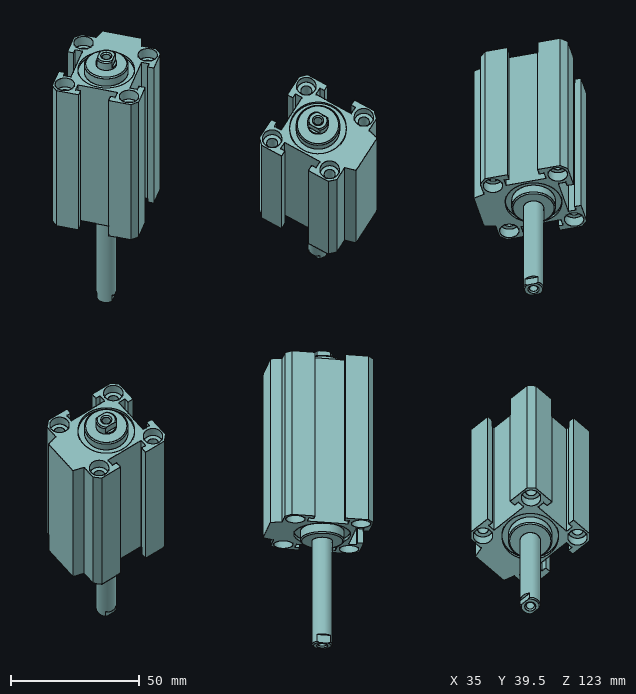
import cadquery as cq

rod_length = 123.0
rod_overhang_top = 4.0
boss_height = 3.0
body_length = 69.0
body_top = rod_length - rod_overhang_top - boss_height
body_bottom = body_top - body_length
body_middle = (body_top + body_bottom) / 2
rod_middle = rod_length / 2

body_width = 35.0
half_width = body_width / 2
corner_chamfer = 2.5
housing_depth = 39.5
rail_top = housing_depth - half_width
rail_top_half_width = 8.0
rail_base_half_width = 9.2

slot_opening = 12.0
slot_inner_width = 16.0
slot_lip = 2.6
slot_floor_distance = 11.9

hole_spacing = 26.0
hole_diameter = 4.3
counterbore_diameter = 7.5
counterbore_depth = 4.5

boss_diameter = 17.0
boss_chamfer = 0.5
recess_diameter = 22.0
recess_depth = 1.2

rod_diameter = 8.0
rod_chamfer = 0.5
flat_distance = 6.0
flat_length = 3.3
bore_diameter = 3.2
bore_mouth_diameter = 4.3
bore_depth = 8.0
bore_chamfer = (bore_mouth_diameter - bore_diameter) / 2


def mirror_in_z(shape, height):
    """Copy of a shape mirrored about the horizontal plane at the given height."""
    return shape.mirror("XY", (0, 0, height))


def make_profile():
    """Square extrusion with chamfered corners and a tapered rail along +Y."""
    square = (
        cq.Workplane("XY", origin=(0, 0, body_bottom))
        .rect(body_width, body_width)
        .extrude(body_length)
        .edges("|Z")
        .chamfer(corner_chamfer)
    )
    rail = (
        cq.Workplane("XY", origin=(0, 0, body_bottom))
        .polyline([
            (-rail_base_half_width, 0),
            (-rail_base_half_width, half_width),
            (-rail_top_half_width, rail_top),
            (rail_top_half_width, rail_top),
            (rail_base_half_width, half_width),
            (rail_base_half_width, 0),
        ])
        .close()
        .extrude(body_length)
    )
    return square.union(rail)


def make_slot():
    """T-slot cutter for the -Y face."""
    slot_depth = half_width - slot_floor_distance
    pocket_depth = slot_depth - slot_lip
    opening = (
        cq.Workplane("XY", origin=(0, -half_width, body_bottom))
        .center(0, slot_depth / 2)
        .rect(slot_opening, slot_depth)
        .extrude(body_length)
    )
    pocket = (
        cq.Workplane("XY", origin=(0, -half_width, body_bottom))
        .center(0, slot_lip + pocket_depth / 2)
        .rect(slot_inner_width, pocket_depth)
        .extrude(body_length)
    )
    return opening.union(pocket)


def make_boss_recess():
    """Cutter for the shallow round recess that the top boss stands in."""
    return (
        cq.Workplane("XY", origin=(0, 0, body_top))
        .circle(recess_diameter / 2)
        .extrude(-recess_depth)
    )


def make_boss():
    """Boss on the top face with a chamfered rim."""
    return (
        cq.Workplane("XY", origin=(0, 0, body_top - recess_depth))
        .circle(boss_diameter / 2)
        .extrude(recess_depth + boss_height)
        .faces(">Z")
        .chamfer(boss_chamfer)
    )


def make_mounting_holes(diameter, top, depth):
    """Cutters for the four corner holes, going down from the given height."""
    return (
        cq.Workplane("XY", origin=(0, 0, top))
        .rect(hole_spacing, hole_spacing, forConstruction=True)
        .vertices()
        .circle(diameter / 2)
        .extrude(-depth)
    )


def make_housing():
    housing = make_profile()
    slot = make_slot()
    for angle in (-90, 0, 90):
        housing = housing.cut(slot.rotate((0, 0, 0), (0, 0, 1), angle))

    housing = housing.cut(make_mounting_holes(hole_diameter, body_top, body_length))
    end_cuts = [
        make_mounting_holes(counterbore_diameter, body_top, counterbore_depth),
        make_boss_recess(),
    ]
    for end_cut in end_cuts:
        housing = housing.cut(end_cut).cut(mirror_in_z(end_cut, body_middle))

    boss = make_boss()
    housing = housing.union(boss).union(mirror_in_z(boss, body_middle))

    rod_hole = cq.Workplane("XY").circle(rod_diameter / 2).extrude(rod_length)
    return housing.cut(rod_hole)


def make_wrench_flats():
    """Cutter that leaves two flats facing -X and +X at the top end of the rod."""
    return (
        cq.Workplane("XY", origin=(0, 0, rod_length))
        .rect(2 * rod_diameter, 2 * rod_diameter)
        .rect(flat_distance, 2 * rod_diameter)
        .extrude(-flat_length)
    )


def make_rod_bore():
    """Blind bore cutter with a chamfered mouth at the top end of the rod."""
    bore_radius = bore_diameter / 2
    return (
        cq.Workplane("XZ")
        .polyline([
            (0, rod_length),
            (bore_mouth_diameter / 2, rod_length),
            (bore_radius, rod_length - bore_chamfer),
            (bore_radius, rod_length - bore_depth),
            (0, rod_length - bore_depth),
        ])
        .close()
        .revolve(360, (0, 0, 0), (0, 1, 0))
    )


def make_rod():
    rod = (
        cq.Workplane("XY")
        .circle(rod_diameter / 2)
        .extrude(rod_length)
        .faces("<Z or >Z")
        .chamfer(rod_chamfer)
    )
    for end_cut in (make_wrench_flats(), make_rod_bore()):
        rod = rod.cut(end_cut).cut(mirror_in_z(end_cut, rod_middle))
    return rod


housing = make_housing()
rod = make_rod()
result = cq.Compound.makeCompound([housing.val(), rod.val()])